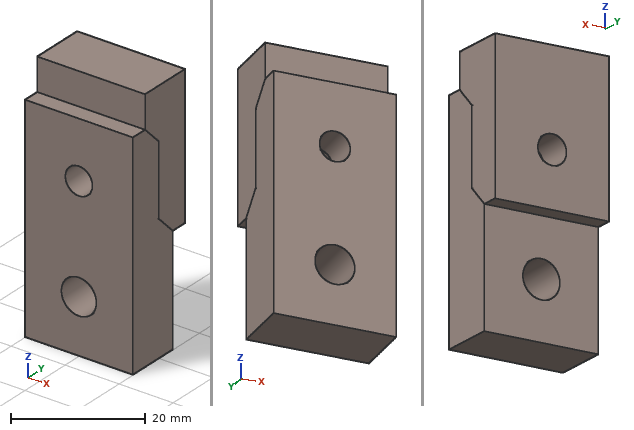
import cadquery as cq

width = 20.0
total_depth = 13.0
total_height = 46.0
block_depth = 10.0
front_block_height = 40.0
rear_block_bottom = 20.0

rear_block_front = total_depth - block_depth
joint_y = total_depth / 2
slope_run = joint_y - rear_block_front
joint_top = front_block_height - slope_run
joint_bottom = rear_block_bottom + slope_run

upper_hole_diameter = 5.0
upper_hole_z = 29.5
lower_hole_diameter = 6.5
lower_hole_z = 10.0

joint_line = [
    (rear_block_front, front_block_height),
    (joint_y, joint_top),
    (joint_y, joint_bottom),
    (block_depth, rear_block_bottom),
]


def extrude_block(outline):
    """Extrude a closed (Y, Z) outline over the width, centred on X = 0."""
    return cq.Workplane("YZ").polyline(outline).close().extrude(width / 2, both=True)


def hole_cutter(diameter, z):
    """Cylinder along Y through the whole depth."""
    return (
        cq.Workplane("XZ")
        .center(0, z)
        .circle(diameter / 2)
        .extrude(-total_depth)
    )


def make_front_block():
    """Front block, with both holes through it."""
    block = extrude_block([(0, 0), (0, front_block_height), *joint_line, (block_depth, 0)])
    block = block.cut(hole_cutter(upper_hole_diameter, upper_hole_z))
    return block.cut(hole_cutter(lower_hole_diameter, lower_hole_z))


def make_rear_block():
    """Rear block, with the upper hole continuing through it."""
    block = extrude_block([
        (rear_block_front, total_height),
        *joint_line,
        (total_depth, rear_block_bottom),
        (total_depth, total_height),
    ])
    return block.cut(hole_cutter(upper_hole_diameter, upper_hole_z))


front_block = make_front_block()
rear_block = make_rear_block()

result = cq.Compound.makeCompound([front_block.val(), rear_block.val()])